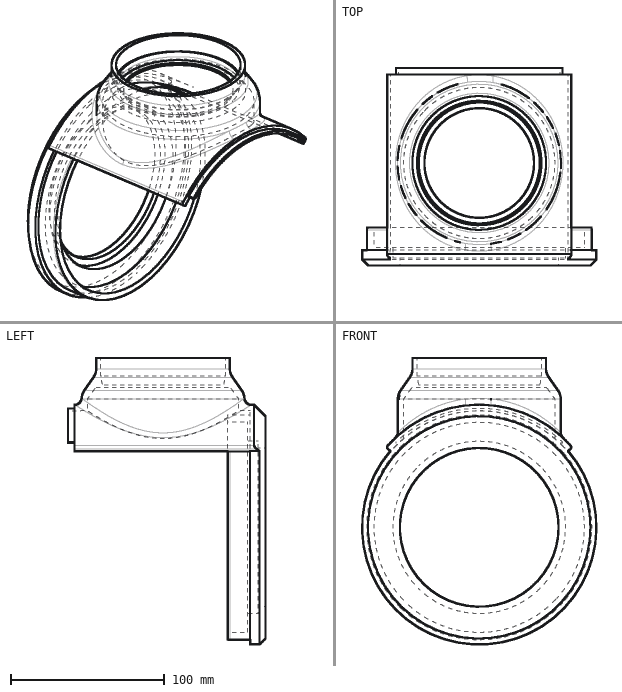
import cadquery as cq
import math


flange_radius = 76.1
front_chamfer = 4.0
flange_depth = 10.0
collar_radius = 146.3 / 2
ring_depth = 24.8
collar_edge_length = 1.7
collar_edge_taper = 0.2
ring_bore_radius = 103.0 / 2
lip_depth = 4.8
middle_bore_radius = 112.0 / 2
middle_bore_end = 11.7
collar_bore_radius = 68.3

saddle_radius = 79.7
saddle_inner_radius = 75.7
saddle_length = 124.1
saddle_half_angle = 49.4
saddle_edge_fillet = 1.7
tongue_radius = 77.5
tongue_end = 128.5
tongue_half_width = 54.2
tongue_bottom = 54.7
tongue_overlap = 5.5

branch_y = 66.6
branch_top = 186.1 - flange_radius
neck_radius = 87.0 / 2
branch_radius = 53.0
neck_depth = 7.0
shoulder_depth = 26.6
cone_angle = math.radians(35)
shoulder_bend_height = 5.5
socket_radius = 81.0 / 2
socket_depth = 11.7
seat_radius = 39.8
seat_taper_start = 15.5
seat_depth = 17.7
seat_taper = 0.5
ledge_radius = 71.0 / 2
ledge_thickness = 1.5
cavity_top_radius = 43.7
cavity_cone_height = 7.5
branch_bore_radius = 49.1
joint_fillet = 4.3

position_tolerance = 0.02


def cylinder_y(radius, start, end):
    """Cylinder along the Y axis between two Y positions."""
    return cq.Workplane("XZ", origin=(0, start, 0)).circle(radius).extrude(start - end)


def revolve_y(points):
    """Revolve a (radius, y) outline about the Y axis."""
    return cq.Workplane("XY").polyline(points).close().revolve(360, (0, 0, 0), (0, 1, 0))


def make_ring():
    return revolve_y([
        (ring_bore_radius, 0),
        (flange_radius - front_chamfer, 0),
        (flange_radius, front_chamfer),
        (flange_radius, flange_depth),
        (collar_radius, flange_depth),
        (collar_radius, ring_depth - collar_edge_length),
        (collar_radius - collar_edge_taper, ring_depth),
        (collar_bore_radius, ring_depth),
        (collar_bore_radius, middle_bore_end),
        (middle_bore_radius, middle_bore_end),
        (middle_bore_radius, lip_depth),
        (ring_bore_radius, lip_depth),
    ])


def make_saddle():
    """Arched shell whose front edge continues the 45 degree ring chamfer."""
    front_radius = flange_radius - front_chamfer
    shell = revolve_y([
        (collar_bore_radius, 0),
        (front_radius, 0),
        (saddle_radius, saddle_radius - front_radius),
        (saddle_radius, saddle_length),
        (saddle_inner_radius, saddle_length),
        (saddle_inner_radius, flange_depth),
        (collar_bore_radius, flange_depth),
    ])
    wedge_height = 2 * saddle_radius
    wedge_half_width = wedge_height * math.tan(math.radians(saddle_half_angle))
    wedge = (
        cq.Workplane("XZ")
        .polyline([(0, 0), (wedge_half_width, wedge_height), (-wedge_half_width, wedge_height)])
        .close()
        .extrude(-saddle_length)
    )
    arch = shell.intersect(wedge)
    corner_x = saddle_radius * math.sin(math.radians(saddle_half_angle))
    edges = [
        edge for edge in arch.edges("|Y").vals()
        if abs(abs(edge.Center().x) - corner_x) < position_tolerance
    ]
    return arch.newObject(edges).fillet(saddle_edge_fillet)


def make_tongue():
    start = saddle_length - tongue_overlap
    shell = cylinder_y(tongue_radius, start, tongue_end).cut(
        cylinder_y(saddle_inner_radius, start, tongue_end)
    )
    keep = cq.Workplane("XY", origin=(0, start, tongue_bottom)).box(
        2 * tongue_half_width, tongue_end - start, saddle_radius, centered=(True, False, False)
    )
    return shell.intersect(keep)


def make_branch():
    """Neck and shoulder, joined by a cone that is tangent to an arc at each end."""
    cone_height = shoulder_depth - neck_depth - 2 * shoulder_bend_height
    cone_width = cone_height * math.tan(cone_angle)
    bend_width = (branch_radius - neck_radius - cone_width) / 2
    neck_bottom = branch_top - neck_depth
    cone_top = neck_bottom - shoulder_bend_height
    cone_bottom = cone_top - cone_height
    outline = (
        cq.Workplane("XZ", origin=(0, branch_y, 0))
        .moveTo(0, 0)
        .lineTo(0, branch_top)
        .lineTo(neck_radius, branch_top)
        .lineTo(neck_radius, neck_bottom)
        .tangentArcPoint((neck_radius + bend_width, cone_top), relative=False)
        .lineTo(branch_radius - bend_width, cone_bottom)
        .tangentArcPoint((branch_radius, branch_top - shoulder_depth), relative=False)
        .lineTo(branch_radius, 0)
        .close()
    )
    return outline.revolve(360, (0, 0, 0), (0, 1, 0))


def cut_branch_bore(body):
    """Stepped socket above a ledge, with a wider cavity below it."""
    socket_bottom = branch_top - socket_depth
    seat_bottom = branch_top - seat_depth
    taper_top = branch_top - seat_taper_start
    ledge_bottom = seat_bottom - ledge_thickness
    cone_bottom = ledge_bottom - cavity_cone_height
    bore = (
        cq.Workplane("XZ", origin=(0, branch_y, 0))
        .polyline([
            (0, branch_top),
            (socket_radius, branch_top),
            (socket_radius, socket_bottom),
            (seat_radius, socket_bottom),
            (seat_radius, taper_top),
            (seat_radius - seat_taper, seat_bottom),
            (ledge_radius, seat_bottom),
            (ledge_radius, ledge_bottom),
            (cavity_top_radius, ledge_bottom),
            (branch_bore_radius, cone_bottom),
            (branch_bore_radius, 0),
            (0, 0),
        ])
        .close()
        .revolve(360, (0, 0, 0), (0, 1, 0))
    )
    return body.cut(bore)


def round_joint(body):
    """Fillet the edge where the branch meets the outer face of the saddle."""
    joint_box = cq.selectors.BoxSelector(
        (-saddle_radius, branch_y - branch_radius - joint_fillet, 0),
        (saddle_radius, branch_y + branch_radius + joint_fillet, branch_top),
        boundingbox=True,
    )
    joint_edges = []
    for edge in body.edges(joint_box).vals():
        point = edge.startPoint()
        if abs(math.hypot(point.x, point.z) - saddle_radius) < position_tolerance:
            joint_edges.append(edge)
    return body.newObject(joint_edges).fillet(joint_fillet)


saddle_core = cylinder_y(saddle_inner_radius, 0, saddle_length)
branch = make_branch().cut(saddle_core)
body = round_joint(make_saddle().union(branch))
body = cut_branch_bore(body)

result = body.union(make_ring()).union(make_tongue())